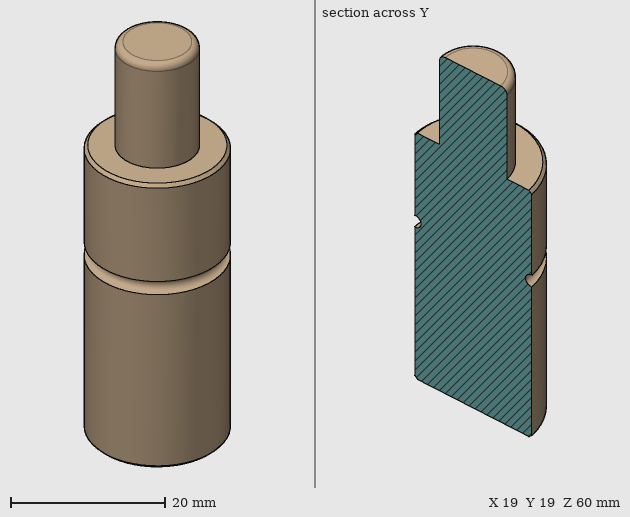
import cadquery as cq

total_height = 60.0
body_diameter = 19.0
body_height = 44.0
body_chamfer = 0.5
pin_diameter = 11.0
pin_tip_radius = 1.0
groove_radius = 1.0
groove_height = 28.0

body_radius = body_diameter / 2


def make_body():
    """Cylinder with both rims chamfered."""
    body = cq.Workplane("XY").circle(body_radius).extrude(body_height)
    return body.faces("<Z or >Z").chamfer(body_chamfer)


def make_pin():
    """Smaller cylinder on top of the body, with a rounded tip."""
    pin = cq.Workplane("XY").workplane(offset=body_height)
    pin = pin.circle(pin_diameter / 2).extrude(total_height - body_height)
    return pin.faces(">Z").edges().fillet(pin_tip_radius)


def make_groove():
    """Ring of round section, centred on the body surface."""
    section = cq.Workplane("XZ").center(body_radius, groove_height).circle(groove_radius)
    return section.revolve(360, (-body_radius, 0), (-body_radius, 1))


result = make_body().cut(make_groove()).union(make_pin())